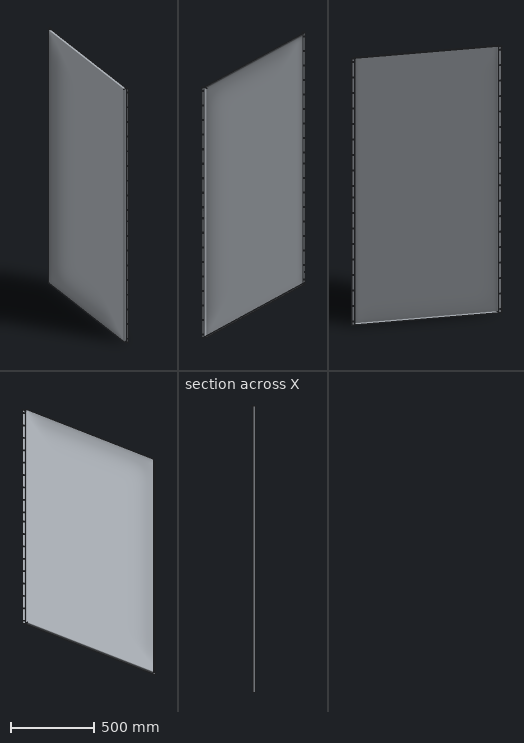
import cadquery as cq

HEIGHT = 1722.0
OVERALL_WIDTH = 925.0
OVERALL_DEPTH = 30.0

SHEET = 1.0
PAN_DEPTH = 19.0
BEND_RADIUS = 5.0
FLANGE_WIDTH = 20.0
PAN_WIDTH = OVERALL_WIDTH - 2 * (FLANGE_WIDTH - SHEET)

EAR_TIP_WIDTH = 7.0
EAR_STRAIGHT_DEPTH = 3.0

HOLE_DIAMETER = 5.0
HOLE_PITCH = 100.0
HOLES_PER_RUN = 9
HOLE_END_DISTANCE = 24.0
HOLE_EDGE_DISTANCE = 10.0

FRONT_Y = -OVERALL_DEPTH / 2
BACK_Y = OVERALL_DEPTH / 2
FLANGE_BACK_Y = FRONT_Y + PAN_DEPTH
FLANGE_FRONT_Y = FLANGE_BACK_Y - SHEET
TOP_Z = HEIGHT / 2
FLANGE_CENTER_X = (OVERALL_WIDTH - FLANGE_WIDTH) / 2


def make_block(width, height, front_y, back_y):
    """Block centred on X and Z, spanning front_y to back_y."""
    block = cq.Workplane("XY").box(width, back_y - front_y, height)
    return block.translate((0, (front_y + back_y) / 2, 0))


def make_pan():
    """Shallow tray, open at the back, with rounded bends around its front face."""
    outside = make_block(PAN_WIDTH, HEIGHT, FRONT_Y, FLANGE_BACK_Y)
    outside = outside.faces("<Y").edges().fillet(BEND_RADIUS)
    inside = make_block(PAN_WIDTH - 2 * SHEET, HEIGHT - 2 * SHEET, FRONT_Y + SHEET, FLANGE_BACK_Y)
    inside = inside.faces("<Y").edges().fillet(BEND_RADIUS - SHEET)
    return outside.cut(inside)


def make_flange(side):
    """Outward flange along one side of the pan; side is -1 for -X and +1 for +X."""
    flange = make_block(FLANGE_WIDTH, HEIGHT, FLANGE_FRONT_Y, FLANGE_BACK_Y)
    return flange.translate((side * FLANGE_CENTER_X, 0, 0))


def make_ear(side):
    """Ear folded back from the top of one flange: a short straight base, then a taper."""
    half_base = FLANGE_WIDTH / 2
    half_tip = EAR_TIP_WIDTH / 2
    taper_start_y = FLANGE_BACK_Y + EAR_STRAIGHT_DEPTH
    outline = [
        (-half_base, FLANGE_FRONT_Y),
        (half_base, FLANGE_FRONT_Y),
        (half_base, taper_start_y),
        (half_tip, BACK_Y),
        (-half_tip, BACK_Y),
        (-half_base, taper_start_y),
    ]
    ear = cq.Workplane("XY").polyline(outline).close().extrude(SHEET)
    return ear.translate((side * FLANGE_CENTER_X, 0, TOP_Z - SHEET))


def make_hole_drills():
    """Drills for every mounting hole in both flanges."""
    hole_x = OVERALL_WIDTH / 2 - HOLE_EDGE_DISTANCE
    first_z = TOP_Z - HOLE_END_DISTANCE
    centers = []
    for index in range(HOLES_PER_RUN):
        z = first_z - index * HOLE_PITCH
        for side in (-1, 1):
            centers.append((side * hole_x, z))
            centers.append((side * hole_x, -z))
    drills = cq.Workplane("XZ").pushPoints(centers).circle(HOLE_DIAMETER / 2)
    return drills.extrude(OVERALL_DEPTH / 2, both=True)


result = make_pan()
for flange_side in (-1, 1):
    result = result.union(make_flange(flange_side)).union(make_ear(flange_side))
result = result.cut(make_hole_drills())